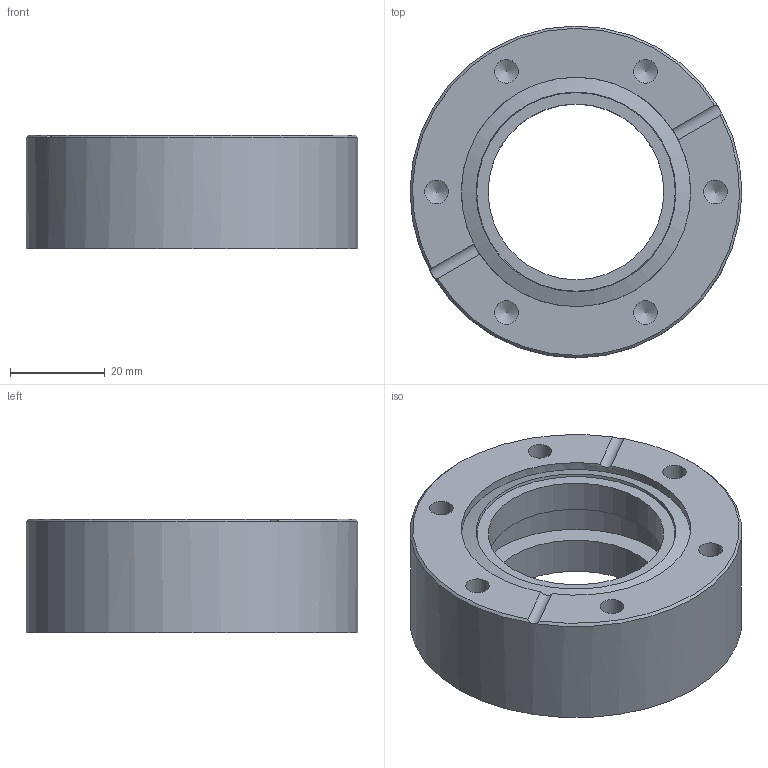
import cadquery as cq
import math

outer_radius = 34.95
thickness = 24.0
rim_chamfer = 0.5

bore_radius = 18.5
chamber_radius = 22.5
chamber_height = thickness / 3

recess_radius = 24.17
knife_radius = 21.03
knife_depth = 0.66
knife_slope = math.radians(20)
inner_land_radius = 20.92
inner_land_depth = 1.3

bolt_count = 6
bolt_circle_radius = 58.7 / 2
bolt_hole_radius = 2.5
bolt_hole_depth = 12.0
drill_point_angle = math.radians(118)

groove_angle = 30.0
groove_width = 2.5
groove_depth = 0.6


def make_body():
    """Revolve the ring's half section, knife edge and chamber included."""
    recess_floor_depth = knife_depth + (recess_radius - knife_radius) * math.tan(knife_slope)
    land_z = thickness - inner_land_depth
    chamber_bottom = (thickness - chamber_height) / 2
    chamber_top = chamber_bottom + chamber_height
    section = [
        (bore_radius, 0),
        (outer_radius, 0),
        (outer_radius, thickness - rim_chamfer),
        (outer_radius - rim_chamfer, thickness),
        (recess_radius, thickness),
        (recess_radius, thickness - recess_floor_depth),
        (knife_radius, thickness - knife_depth),
        (inner_land_radius, land_z),
        (bore_radius, land_z),
        (bore_radius, chamber_top),
        (chamber_radius, chamber_top),
        (chamber_radius, chamber_bottom),
        (bore_radius, chamber_bottom),
    ]
    return cq.Workplane("XZ").polyline(section).close().revolve(360, (0, 0), (0, 1))


def make_bolt_hole(angle):
    """Hole cutter at the given angle on the bolt circle, ending in a cone."""
    point_height = bolt_hole_radius / math.tan(drill_point_angle / 2)
    half_section = [
        (0, 0),
        (bolt_hole_radius, 0),
        (bolt_hole_radius, -bolt_hole_depth),
        (0, -bolt_hole_depth - point_height),
    ]
    cutter = cq.Workplane("XZ").polyline(half_section).close().revolve(360, (0, 0), (0, 1))
    x = bolt_circle_radius * math.cos(math.radians(angle))
    y = bolt_circle_radius * math.sin(math.radians(angle))
    return cutter.translate((x, y, thickness))


def make_groove(angle):
    """Radial cylinder cutter running from inside the recess out past the rim."""
    groove_radius = ((groove_width / 2) ** 2 + groove_depth**2) / (2 * groove_depth)
    axis_z = thickness - groove_depth + groove_radius
    start = (knife_radius + recess_radius) / 2
    length = outer_radius + groove_width - start
    cutter = cq.Workplane("YZ", origin=(start, 0, axis_z)).circle(groove_radius).extrude(length)
    return cutter.rotate((0, 0, 0), (0, 0, 1), angle)


result = make_body()
for index in range(bolt_count):
    result = result.cut(make_bolt_hole(index * 360 / bolt_count))
for half_turn in (0, 180):
    result = result.cut(make_groove(groove_angle + half_turn))